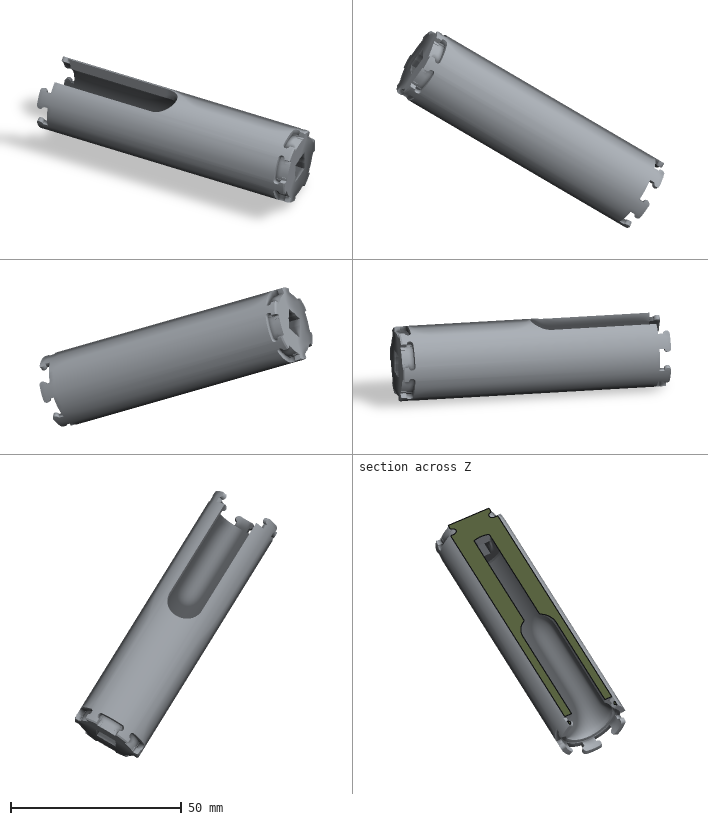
import cadquery as cq
import math

length = 80.0
outer_diameter = 22.0
bore_diameter = 16.2
end_wall = 8.0
bore_chamfer = 0.5
outer_radius = outer_diameter / 2
bore_radius = bore_diameter / 2

drive_square = 6.5
drive_relief_diameter = 6.8

slot_width = 10.9
slot_end = 40.0

joint_count = 6
bulb_radius = 1.0
shoulder = 3.4
recess_depth = 0.2
recess_chamfer = 0.3
tooth_inner_radius = 9.5
tooth_half_angle = 12.0
socket_depth = 3.6
socket_ledge_radius = 9.4
socket_floor_radius = 9.3
socket_half_angle = 18.5
floor_half_angle = 13.0
floor_bulb_half_angle = 19.0
end_chamfer_length = 0.5
end_chamfer_height = 0.2

overshoot = 0.8
cut_radius = outer_radius + overshoot


def ring(start, end, inner_radius, ring_radius):
    """Ring around the X axis."""
    return (
        cq.Workplane("YZ", origin=(start, 0, 0))
        .circle(ring_radius)
        .circle(inner_radius)
        .extrude(end - start)
    )


def wedge(start, end, half_angle):
    """Radial wedge about +Z, from the X axis to beyond the outer surface."""
    half_width = cut_radius * math.tan(math.radians(half_angle))
    return (
        cq.Workplane("YZ", origin=(start, 0, 0))
        .polyline([(0, 0), (half_width, cut_radius), (-half_width, cut_radius)])
        .close()
        .extrude(end - start)
    )


def joint_shape(start, end, half_angle):
    """Radial wedge about +Z with round bulbs on both flanks at its start."""
    shape = wedge(start, end, half_angle)
    bulb_base = cq.Workplane("XY", origin=(start + bulb_radius, 0, 0))
    bulb = bulb_base.circle(bulb_radius).extrude(cut_radius)
    for angle in (-half_angle, half_angle):
        shape = shape.union(bulb.rotate((0, 0, 0), (1, 0, 0), angle))
    return shape


def joint_pattern(shape, blank):
    """Keep the parts of the blank ring that lie in the evenly spaced joint shapes."""
    segment = blank.intersect(shape)
    pattern = segment
    for index in range(1, joint_count):
        pattern = pattern.union(segment.rotate((0, 0, 0), (1, 0, 0), index * 360 / joint_count))
    return pattern


def tube():
    """Closed tube as one revolved profile, with the full height of the teeth still solid."""
    recess_floor = shoulder + recess_depth
    bore_end = length - end_wall
    profile = [
        (0, outer_radius),
        (0, tooth_inner_radius),
        (recess_floor - recess_chamfer, tooth_inner_radius),
        (recess_floor, tooth_inner_radius - recess_chamfer),
        (recess_floor, bore_radius),
        (bore_end - bore_chamfer, bore_radius),
        (bore_end, bore_radius - bore_chamfer),
        (bore_end, 0),
        (length, 0),
        (length, outer_radius - end_chamfer_height),
        (length - end_chamfer_length, outer_radius),
    ]
    return cq.Workplane("XY").polyline(profile).close().revolve(360, (0, 0, 0), (1, 0, 0))


def tooth_gaps():
    """Material between the teeth, down to the shoulder."""
    blank = ring(0, shoulder, bore_radius, cut_radius)
    return blank.cut(joint_pattern(joint_shape(0, shoulder + overshoot, tooth_half_angle), blank))


def sockets():
    """T-shaped pockets, each with a slightly deeper floor inside a narrow ledge."""
    start = length - socket_depth
    end = length + overshoot
    pocket_blank = ring(start, end, socket_ledge_radius, cut_radius)
    floor_blank = ring(start, end, socket_floor_radius, outer_radius)
    pocket = joint_shape(start, end, socket_half_angle)
    floor_bulb = wedge(start, start + 2 * bulb_radius, floor_bulb_half_angle)
    floor = wedge(start, end, floor_half_angle).union(floor_bulb)
    return joint_pattern(pocket, pocket_blank).union(joint_pattern(floor.intersect(pocket), floor_blank))


def viewing_slot():
    """Slot open at the toothed end, with a round inner end."""
    half_width = slot_width / 2
    return (
        cq.Workplane("XY")
        .moveTo(-overshoot, -half_width)
        .lineTo(slot_end - half_width, -half_width)
        .threePointArc((slot_end, 0), (slot_end - half_width, half_width))
        .lineTo(-overshoot, half_width)
        .close()
        .extrude(cut_radius)
    )


def drive_hole():
    """Square hole with its four sides relieved by a slightly wider round hole."""
    plane = cq.Workplane("YZ", origin=(length - end_wall - overshoot, 0, 0))
    depth = end_wall + 2 * overshoot
    square = plane.rect(drive_square, drive_square).extrude(depth)
    return square.union(plane.circle(drive_relief_diameter / 2).extrude(depth))


result = tube().cut(tooth_gaps()).cut(sockets()).cut(viewing_slot()).cut(drive_hole())